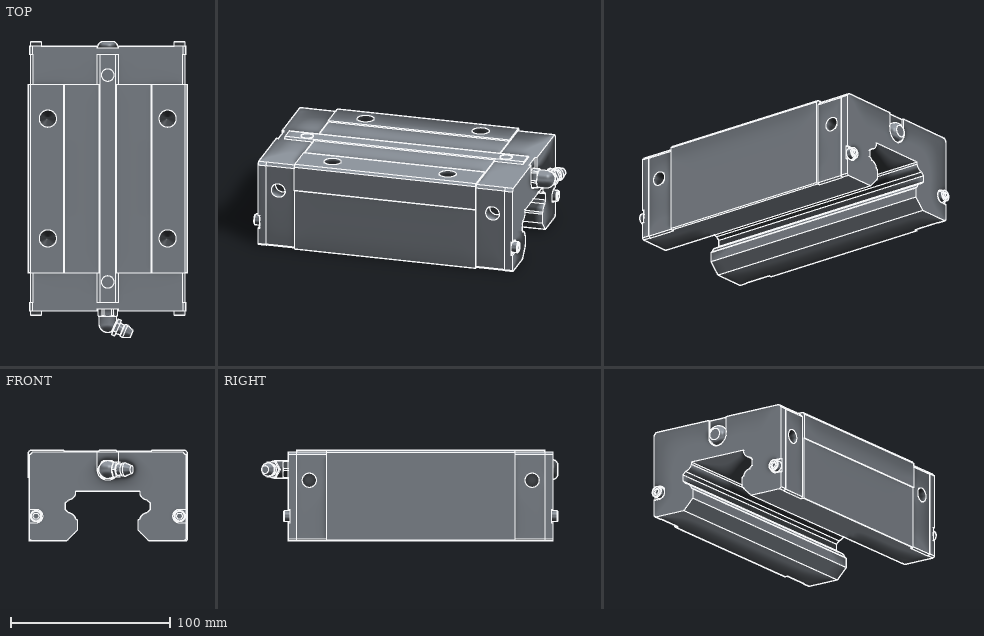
import cadquery as cq
import math

TOP_Z = 57.0
BLOCK_WIDTH = 100.0
BLOCK_LENGTH = 118.2
CAP_WIDTH = 97.0
CAP_END_Y = 77.9
PLATE_WIDTH = 98.0
PLATE_END_Y = 83.0
CAP_TOP_Z = 56.0

BLOCK_TOP_BEVEL = 1.5
BLOCK_BOTTOM_BEVEL = 0.7
CAP_TOP_BEVEL = (1.5, 1.9)
PLATE_TOP_BEVEL = (1.9, 1.9)
CAP_BOTTOM_BEVEL = (1.1, 1.1)

SIDE_RELIEF = 0.5
SIDE_RELIEF_TOP_Z = 39.8
STRIP_HALF_WIDTH = 4.8
PAD_INNER_X = 27.9
TOP_RECESS_DEPTH = 0.5
TOP_RECESS_RUN = 0.7
MOUNT_SPACING = 75.0
MOUNT_RADIUS = 5.4
MOUNT_DEPTH = 18.5
DRILL_POINT_ANGLE = 118.0

CHANNEL_TOP_Z = 31.0
CHANNEL_ROOF_HALF = 20.0
GROOVE_X = 26.5
GROOVE_Z = 21.7
GROOVE_HALF_HEIGHT = 3.9
GROOVE_FLOOR_HALF = 2.0
GROOVE_MOUTH_X = 24.5
LAND_BULGE = (21.5, 5.4)
LAND_HALF_HEIGHT = 7.8
LIP_X = 19.0
LIP_TOP_Z = 13.0
LIP_BOTTOM_Z = 6.9
MOUTH_HALF = 25.8

RIDGE_BASE_HALF = 6.7
DIMPLE_RADIUS = 3.9
DIMPLE_DEPTH = 0.4
DIMPLE_Y = 64.9
SIDE_HOLE_RADIUS = 4.5
SIDE_HOLE_DEPTH = 9.3
SIDE_HOLE_Y = 69.9
SIDE_HOLE_Z = 38.1

SCREW_X = 45.0
SCREW_Z = 15.6
SCREW_RADIUS = 3.5
SCREW_TIP_Y = 86.0
SCREW_BEVEL = 0.5
SCREW_POCKET_RADIUS = 4.3
SCREW_POCKET_DEPTH = 1.1
SOCKET_ACROSS_CORNERS = 4.0
SOCKET_DEPTH = 1.5
PORT_Z = 44.8
PORT_RADIUS = 6.7
PORT_DEPTH = 1.3
PLUG_RADIUS = 6.3
PLUG_FLAT_RADIUS = 3.7
PLUG_BULGE = (5.8, 2.6)

BASE_HEX_CORNERS = 13.0
BASE_HEX_LENGTH = 4.6
BASE_HEX_TURNED_RADIUS = 6.1
BASE_HEX_BEVEL = 0.4
ELBOW_RADIUS = 5.5
ELBOW_CENTRE_Y = -91.0
OUTLET_ANGLE = 23.5
COLLAR_START = 4.8
COLLAR_END = 7.0
COLLAR_CORNERS = 10.8
BARB_PROFILE = [(3.7, COLLAR_END), (3.3, 9.8), (4.0, 10.2), (4.3, 11.9), (2.5, 16.4)]


def box_on_x(half_width, length, centre_y, bottom_z, height):
    """Box centred on X, given its half width and its centre along Y."""
    size = (2 * half_width, length, height)
    return cq.Workplane("XY").box(*size, centered=(True, True, False)).translate((0, centre_y, bottom_z))


def extrude_along_y(points, start_y, length):
    """Closed XZ outline extruded towards +Y."""
    return cq.Workplane("XZ", origin=(0, start_y, 0)).polyline(points).close().extrude(-length)


def bevelled_outline(half_width, top_z, top_bevel, bottom_bevel):
    """Rectangle on Z = 0 with its four corners cut; each bevel is (x, z)."""
    top_x, top_drop = top_bevel
    bottom_x, bottom_rise = bottom_bevel
    right = [
        (half_width - bottom_x, 0),
        (half_width, bottom_rise),
        (half_width, top_z - top_drop),
        (half_width - top_x, top_z),
    ]
    return right + [(-x, z) for x, z in reversed(right)]


def cylinder_along_y(radius, x, z, start_y, end_y):
    wp = cq.Workplane("XZ", origin=(x, start_y, z))
    return wp.circle(radius).extrude(start_y - end_y)


def make_steel_block():
    outline = bevelled_outline(
        BLOCK_WIDTH / 2,
        TOP_Z,
        (BLOCK_TOP_BEVEL, BLOCK_TOP_BEVEL),
        (BLOCK_BOTTOM_BEVEL, BLOCK_BOTTOM_BEVEL),
    )
    body = extrude_along_y(outline, -BLOCK_LENGTH / 2, BLOCK_LENGTH)

    relief = box_on_x(SIDE_RELIEF, BLOCK_LENGTH, 0, 0, SIDE_RELIEF_TOP_Z)
    body = body.cut(relief.translate((-BLOCK_WIDTH / 2, 0, 0)))

    floor_z = TOP_Z - TOP_RECESS_DEPTH
    recess = extrude_along_y(
        [
            (STRIP_HALF_WIDTH, TOP_Z),
            (STRIP_HALF_WIDTH + TOP_RECESS_RUN, floor_z),
            (PAD_INNER_X - TOP_RECESS_RUN, floor_z),
            (PAD_INNER_X, TOP_Z),
        ],
        -BLOCK_LENGTH / 2,
        BLOCK_LENGTH,
    )
    body = body.cut(recess).cut(recess.mirror("YZ"))

    tip_drop = MOUNT_RADIUS / math.tan(math.radians(DRILL_POINT_ANGLE / 2))
    drill = (
        cq.Workplane("XZ")
        .polyline([(0, 0), (MOUNT_RADIUS, 0), (MOUNT_RADIUS, -MOUNT_DEPTH), (0, -MOUNT_DEPTH - tip_drop)])
        .close()
        .revolve(360, (0, 0, 0), (0, 1, 0))
    )
    for x in (-MOUNT_SPACING / 2, MOUNT_SPACING / 2):
        for y in (-MOUNT_SPACING / 2, MOUNT_SPACING / 2):
            body = body.cut(drill.translate((x, y, TOP_Z)))
    return body


def make_end_cap():
    """Cap and end plate at the +Y end, without the rail channel."""
    cap_start = BLOCK_LENGTH / 2
    cap_length = CAP_END_Y - cap_start
    cap_outline = bevelled_outline(CAP_WIDTH / 2, CAP_TOP_Z, CAP_TOP_BEVEL, CAP_BOTTOM_BEVEL)
    cap = extrude_along_y(cap_outline, cap_start, cap_length)

    ridge = extrude_along_y(
        [
            (-RIDGE_BASE_HALF, CAP_TOP_Z),
            (RIDGE_BASE_HALF, CAP_TOP_Z),
            (STRIP_HALF_WIDTH, TOP_Z),
            (-STRIP_HALF_WIDTH, TOP_Z),
        ],
        cap_start,
        cap_length,
    )
    cap = cap.union(ridge)
    dimple = cq.Workplane("XY", origin=(0, DIMPLE_Y, TOP_Z)).circle(DIMPLE_RADIUS).extrude(-DIMPLE_DEPTH)
    cap = cap.cut(dimple)

    side_hole = (
        cq.Workplane("YZ", origin=(-CAP_WIDTH / 2, SIDE_HOLE_Y, SIDE_HOLE_Z))
        .circle(SIDE_HOLE_RADIUS)
        .extrude(SIDE_HOLE_DEPTH)
    )
    cap = cap.cut(side_hole).cut(side_hole.mirror("YZ"))

    plate_outline = bevelled_outline(PLATE_WIDTH / 2, CAP_TOP_Z, PLATE_TOP_BEVEL, CAP_BOTTOM_BEVEL)
    plate = extrude_along_y(plate_outline, CAP_END_Y, PLATE_END_Y - CAP_END_Y)

    port_floor = PLATE_END_Y - PORT_DEPTH
    port = cylinder_along_y(PORT_RADIUS, 0, PORT_Z, port_floor, PLATE_END_Y).union(
        box_on_x(PORT_RADIUS, PORT_DEPTH, PLATE_END_Y - PORT_DEPTH / 2, PORT_Z, TOP_Z - PORT_Z)
    )
    plate = plate.cut(port)

    screw = make_screw()
    pocket = make_screw_pocket()
    plate = plate.cut(pocket).cut(pocket.mirror("YZ"))
    return cap.union(plate).union(screw).union(screw.mirror("YZ"))


def make_screw_pocket():
    """Round-ended seat around the +X screw, open at the side of the plate."""
    floor_y = PLATE_END_Y - SCREW_POCKET_DEPTH
    seat = cylinder_along_y(SCREW_POCKET_RADIUS, SCREW_X, SCREW_Z, floor_y, PLATE_END_Y)
    opening = cq.Workplane("XY").box(
        PLATE_WIDTH / 2 - SCREW_X,
        SCREW_POCKET_DEPTH,
        2 * SCREW_POCKET_RADIUS,
        centered=(False, False, True),
    )
    return seat.union(opening.translate((SCREW_X, floor_y, SCREW_Z)))


def make_screw():
    """Socket head of the +X screw."""
    head = cylinder_along_y(SCREW_RADIUS, SCREW_X, SCREW_Z, PLATE_END_Y - SCREW_POCKET_DEPTH, SCREW_TIP_Y)
    head = head.faces(">Y").chamfer(SCREW_BEVEL)
    socket = cq.Workplane("XZ", origin=(SCREW_X, SCREW_TIP_Y, SCREW_Z))
    return head.cut(socket.polygon(6, SOCKET_ACROSS_CORNERS).extrude(SOCKET_DEPTH))


def make_channel():
    """Rail channel along the full length; each flank has a groove between two rounded lands."""
    bulge_x, bulge_offset = LAND_BULGE
    half = (
        cq.Workplane("XZ", origin=(0, -PLATE_END_Y, 0))
        .moveTo(0, CHANNEL_TOP_Z)
        .lineTo(CHANNEL_ROOF_HALF, CHANNEL_TOP_Z)
        .lineTo(CHANNEL_ROOF_HALF, GROOVE_Z + LAND_HALF_HEIGHT)
        .threePointArc((bulge_x, GROOVE_Z + bulge_offset), (GROOVE_MOUTH_X, GROOVE_Z + GROOVE_HALF_HEIGHT))
        .lineTo(GROOVE_X, GROOVE_Z + GROOVE_FLOOR_HALF)
        .lineTo(GROOVE_X, GROOVE_Z - GROOVE_FLOOR_HALF)
        .lineTo(GROOVE_MOUTH_X, GROOVE_Z - GROOVE_HALF_HEIGHT)
        .threePointArc((bulge_x, GROOVE_Z - bulge_offset), (CHANNEL_ROOF_HALF, GROOVE_Z - LAND_HALF_HEIGHT))
        .lineTo(LIP_X, LIP_TOP_Z)
        .lineTo(LIP_X, LIP_BOTTOM_Z)
        .lineTo(MOUTH_HALF, 0)
        .lineTo(0, 0)
        .close()
        .extrude(-2 * PLATE_END_Y)
    )
    return half.union(half.mirror("YZ"))


def make_plug():
    """Domed plug closing the +Y grease port."""
    height = SCREW_TIP_Y - PLATE_END_Y + PORT_DEPTH
    return (
        cq.Workplane("XY")
        .moveTo(0, 0)
        .lineTo(PLUG_RADIUS, 0)
        .threePointArc(PLUG_BULGE, (PLUG_FLAT_RADIUS, height))
        .lineTo(0, height)
        .close()
        .revolve(360, (0, 0, 0), (0, 1, 0))
        .translate((0, PLATE_END_Y - PORT_DEPTH, PORT_Z))
    )


def make_nipple():
    """Elbowed grease nipple in the -Y grease port."""
    seat_y = PORT_DEPTH - PLATE_END_Y
    hex_end_y = seat_y - BASE_HEX_LENGTH
    seat = cq.Workplane("XZ", origin=(0, seat_y, PORT_Z))
    base = seat.polygon(6, BASE_HEX_CORNERS).extrude(BASE_HEX_LENGTH)
    turned_bar = cylinder_along_y(BASE_HEX_TURNED_RADIUS, 0, PORT_Z, seat_y, hex_end_y)
    base = base.intersect(turned_bar.faces("<Y").chamfer(BASE_HEX_BEVEL))

    elbow_centre = (0, ELBOW_CENTRE_Y, PORT_Z)
    shank = cylinder_along_y(ELBOW_RADIUS, 0, PORT_Z, seat_y, ELBOW_CENTRE_Y)
    ball = cq.Workplane("XY").sphere(ELBOW_RADIUS).translate(elbow_centre)

    core_radius, core_end = BARB_PROFILE[0]
    collar = (
        cq.Workplane("XY", origin=(0, 0, COLLAR_START))
        .polygon(6, COLLAR_CORNERS)
        .extrude(COLLAR_END - COLLAR_START)
    )
    core = cq.Workplane("XY").circle(core_radius).extrude(core_end)
    barb = (
        cq.Workplane("XZ")
        .polyline([(0, COLLAR_END)] + BARB_PROFILE + [(0, BARB_PROFILE[-1][1])])
        .close()
        .revolve(360, (0, 0, 0), (0, 1, 0))
    )
    outlet = (
        collar.union(core)
        .union(barb)
        .rotate((0, 0, 0), (0, 0, 1), 90)
        .rotate((0, 0, 0), (0, 1, 0), 90)
        .rotate((0, 0, 0), (0, 0, 1), -OUTLET_ANGLE)
        .translate(elbow_centre)
    )
    return base.union(shank).union(ball).union(outlet)


end_cap = make_end_cap()
carriage = make_steel_block().union(end_cap).union(end_cap.mirror("XZ"))
result = carriage.cut(make_channel()).union(make_plug()).union(make_nipple())